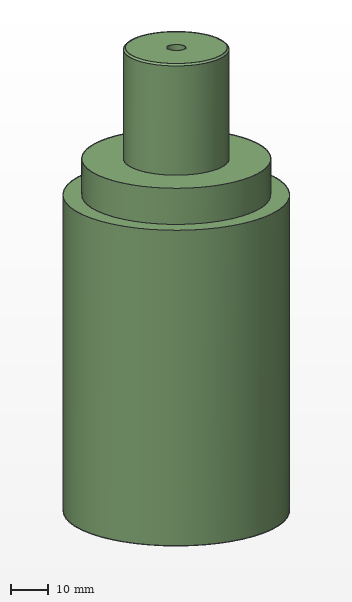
import cadquery as cq

total_height = 129.0
body_diameter = 60.0
collar_diameter = 50.0
spigot_diameter = 28.0
bore_diameter = 5.0

body_height = 88.0
collar_height = 10.0
spigot_height = total_height - body_height - collar_height
spigot_chamfer = 0.5


def cylinder(diameter, height, base_z):
    """Upright cylinder on the Z axis, standing on base_z."""
    return cq.Workplane("XY").workplane(offset=base_z).circle(diameter / 2).extrude(height)


body = cylinder(body_diameter, body_height, 0)
collar = cylinder(collar_diameter, collar_height, body_height)
spigot = cylinder(spigot_diameter, spigot_height, body_height + collar_height)
spigot = spigot.faces(">Z").edges().chamfer(spigot_chamfer)

bore = cylinder(bore_diameter, total_height, 0)

result = body.union(collar).union(spigot).cut(bore)